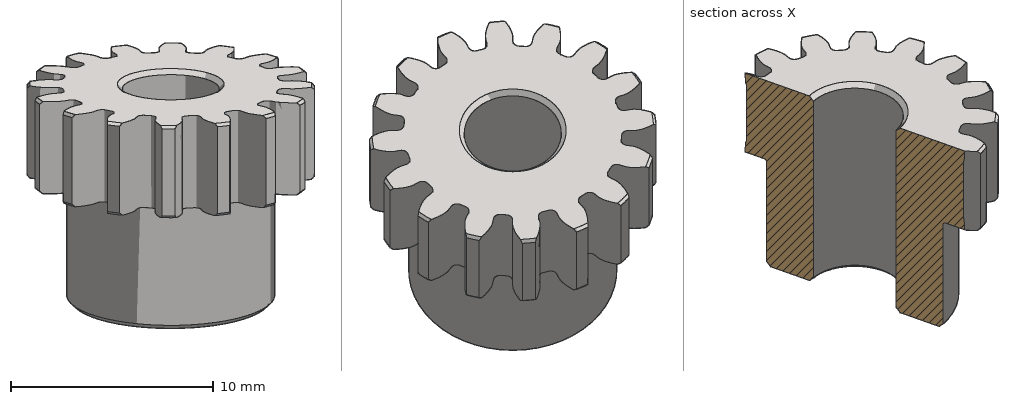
import cadquery as cq
import math

overall_width = 14.2
overall_height = 11.13
gear_height = 4.77
hub_height = overall_height - gear_height

tooth_count = 16
pitch_radius = 6.4
root_radius = 5.4
pressure_angle = math.radians(20)
tooth_pitch = 2 * math.pi / tooth_count
first_tooth_angle = tooth_pitch / 4
root_fillet = 0.33
tip_chamfer = 0.14
flank_steps = 4

hub_radius = 5.15
hub_chamfer = 0.24
neck_fillet = 0.13
bore_radius = 2.4
bore_chamfer = 0.24

base_radius = pitch_radius * math.cos(pressure_angle)


def involute(angle):
    return math.tan(angle) - angle


def tooth_half_angle(radius):
    """Half the angle that a tooth spans at a radius on its involute flank."""
    local_pressure_angle = math.acos(min(1.0, base_radius / radius))
    return tooth_pitch / 4 + involute(pressure_angle) - involute(local_pressure_angle)


tip_corner_angle = first_tooth_angle - tooth_half_angle(overall_width / 2)
tip_radius = overall_width / 2 / math.cos(tip_corner_angle)

base_half_angle = tooth_half_angle(base_radius)
fillet_centre_radius = root_radius + root_fillet
fillet_span = math.asin(root_fillet / fillet_centre_radius)
fillet_top_radius = fillet_centre_radius * math.cos(fillet_span)


def polar(radius, angle):
    return (radius * math.cos(angle), radius * math.sin(angle))


def flank_points(centre, side):
    """Involute points from the base circle to the tip; side is -1 or 1."""
    step = (tip_radius - base_radius) / flank_steps
    radii = [base_radius + i * step for i in range(flank_steps + 1)]
    return [polar(r, centre + side * tooth_half_angle(r)) for r in radii]


def add_tooth(outline, centre):
    """Add one tooth and the root land after it, starting at the foot of its first fillet."""
    rising = flank_points(centre, -1)
    falling = flank_points(centre, 1)[::-1]
    foot_half_angle = base_half_angle + fillet_span
    next_foot = centre + tooth_pitch - foot_half_angle
    return (
        outline
        .radiusArc(polar(fillet_top_radius, centre - base_half_angle), root_fillet)
        .lineTo(*rising[0])
        .spline(rising[1:], includeCurrent=True)
        .threePointArc(polar(tip_radius, centre), falling[0])
        .spline(falling[1:], includeCurrent=True)
        .lineTo(*polar(fillet_top_radius, centre + base_half_angle))
        .radiusArc(polar(root_radius, centre + foot_half_angle), root_fillet)
        .threePointArc(polar(root_radius, centre + tooth_pitch / 2), polar(root_radius, next_foot))
    )


def make_gear():
    start_angle = first_tooth_angle - base_half_angle - fillet_span
    outline = cq.Workplane("XY").workplane(offset=hub_height).moveTo(*polar(root_radius, start_angle))
    for i in range(tooth_count):
        outline = add_tooth(outline, first_tooth_angle + i * tooth_pitch)
    teeth = outline.close().extrude(gear_height)
    tip_envelope = (
        cq.Workplane("XY").workplane(offset=hub_height)
        .circle(tip_radius).extrude(gear_height)
        .edges().chamfer(tip_chamfer)
    )
    return teeth.intersect(tip_envelope)


def make_hub():
    """Hub with a chamfered lower rim and a concave fillet up to the gear face."""
    fillet_bottom = hub_height - neck_fillet
    neck_radius = hub_radius + neck_fillet
    return (
        cq.Workplane("XZ")
        .lineTo(hub_radius - hub_chamfer, 0)
        .lineTo(hub_radius, hub_chamfer)
        .lineTo(hub_radius, fillet_bottom)
        .radiusArc((neck_radius, hub_height), neck_fillet)
        .lineTo(0, hub_height)
        .close()
        .revolve(360, (0, 0, 0), (0, 1, 0))
    )


def make_bore():
    """Through hole with a chamfer at both ends."""
    mouth_radius = bore_radius + bore_chamfer
    return (
        cq.Workplane("XZ")
        .lineTo(mouth_radius, 0)
        .lineTo(bore_radius, bore_chamfer)
        .lineTo(bore_radius, overall_height - bore_chamfer)
        .lineTo(mouth_radius, overall_height)
        .lineTo(0, overall_height)
        .close()
        .revolve(360, (0, 0, 0), (0, 1, 0))
    )


result = make_gear().union(make_hub()).cut(make_bore())